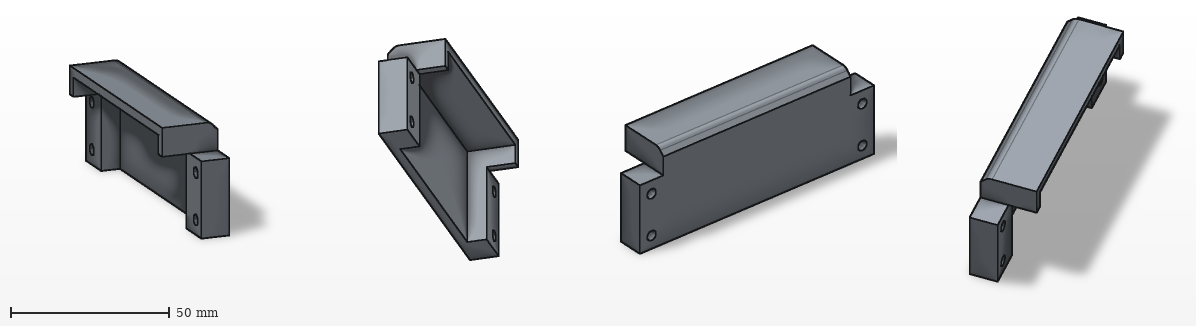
import cadquery as cq

length = 95.25
depth = 19.05
height = 35.0
wall = 3.1

block_depth = 9.5
hood_height = 9.5
block_height = height - hood_height

ledge = 9.5
hood_length = length - 2 * ledge
cavity_length = hood_length - 2 * wall

bevel = 2.6
blend_radius = 3.1

hole_diameter = 3.5
hole_inset = 4.8
hole_low = 5.0
hole_high = block_height - hole_low

back = depth


def box(x_size, y_min, y_max, z_min, z_max):
    """Box centred on X = 0, spanning the given Y and Z ranges."""
    return (
        cq.Workplane("XY")
        .box(x_size, y_max - y_min, z_max - z_min, centered=(True, False, False))
        .translate((0, y_min, z_min))
    )


def make_hood():
    """Full-depth hood with its upper back edge bevelled and blended."""
    hood = box(hood_length, 0, back, block_height, height)
    hood = hood.edges("|X and >Y and >Z").chamfer(bevel)
    blend_edge = cq.selectors.NearestToPointSelector((0, back - bevel, height))
    return hood.edges(blend_edge).fillet(blend_radius)


def make_holes():
    """Two screw holes at each end, running along Y."""
    hole_x = length / 2 - hole_inset
    centres = [(x, z) for x in (-hole_x, hole_x) for z in (hole_low, hole_high)]
    return (
        cq.Workplane("XZ", origin=(0, back, 0))
        .pushPoints(centres)
        .circle(hole_diameter / 2)
        .extrude(block_depth)
    )


base = box(length, back - block_depth, back, 0, block_height)

cavity = box(cavity_length, 0, back - wall, 0, height - wall)

result = base.union(make_hood()).cut(cavity).cut(make_holes())